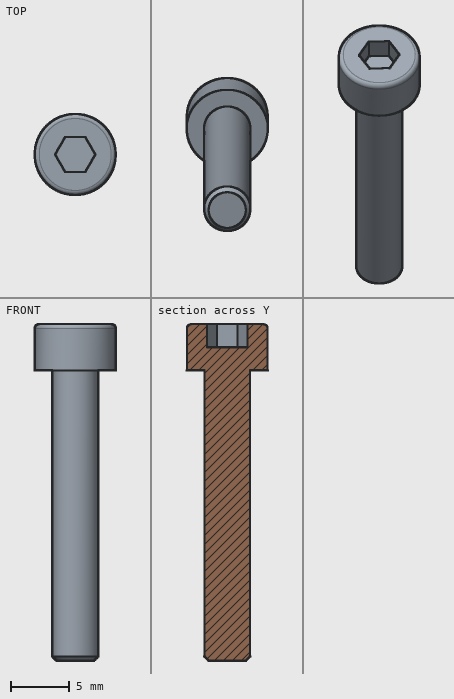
import cadquery as cq
import math

THREAD_DIAMETER = 4.0
SHANK_LENGTH = 25.0
HEAD_DIAMETER = 7.0
HEAD_HEIGHT = THREAD_DIAMETER
HEAD_EDGE_RADIUS = 0.4
TIP_CHAMFER = 0.4
HEX_ACROSS_FLATS = 3.0
HEX_DEPTH = HEAD_HEIGHT / 2
HEX_SIDES = 6


def make_head():
    """Cylindrical head with a rounded top rim."""
    head = cq.Workplane("XY").circle(HEAD_DIAMETER / 2).extrude(HEAD_HEIGHT)
    return head.faces(">Z").edges().fillet(HEAD_EDGE_RADIUS)


def make_shank():
    """Plain cylindrical shank with a chamfered tip."""
    shank = cq.Workplane("XY").circle(THREAD_DIAMETER / 2).extrude(-SHANK_LENGTH)
    return shank.faces("<Z").edges().chamfer(TIP_CHAMFER)


def make_hex_socket():
    """Hexagonal drive recess with two corners on the X axis."""
    across_corners = HEX_ACROSS_FLATS / math.cos(math.pi / HEX_SIDES)
    socket_top = cq.Workplane("XY").workplane(offset=HEAD_HEIGHT)
    return socket_top.polygon(HEX_SIDES, across_corners).extrude(-HEX_DEPTH)


result = make_head().union(make_shank()).cut(make_hex_socket())